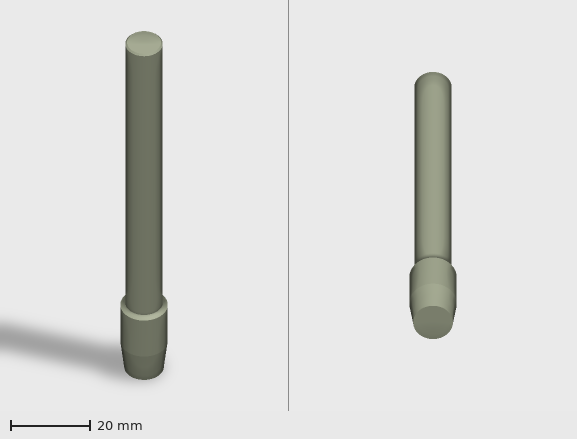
import cadquery as cq

total_length = 110.0
taper_length = 8.8
head_length = 21.8
shoulder_height = 0.8

collar_diameter = 12.0
tip_diameter = 10.0
shank_diameter = 9.5
end_chamfer = 0.4

collar_radius = collar_diameter / 2
tip_radius = tip_diameter / 2
shank_radius = shank_diameter / 2


def revolve_profile(points):
    """Revolve a closed (radius, height) outline around the Z axis."""
    return cq.Workplane("XZ").polyline(points).close().revolve(360, (0, 0), (0, 1))


def make_head():
    """Tapered tip, cylindrical collar and a shallow conical shoulder."""
    return revolve_profile([
        (0, 0),
        (tip_radius, 0),
        (collar_radius, taper_length),
        (collar_radius, head_length - shoulder_height),
        (shank_radius, head_length),
        (0, head_length),
    ])


def make_shank():
    """Long round rod standing on the head, chamfered at its free end."""
    return revolve_profile([
        (0, head_length),
        (shank_radius, head_length),
        (shank_radius, total_length - end_chamfer),
        (shank_radius - end_chamfer, total_length),
        (0, total_length),
    ])


head = make_head()
shank = make_shank()

result = cq.Compound.makeCompound([head.val(), shank.val()])